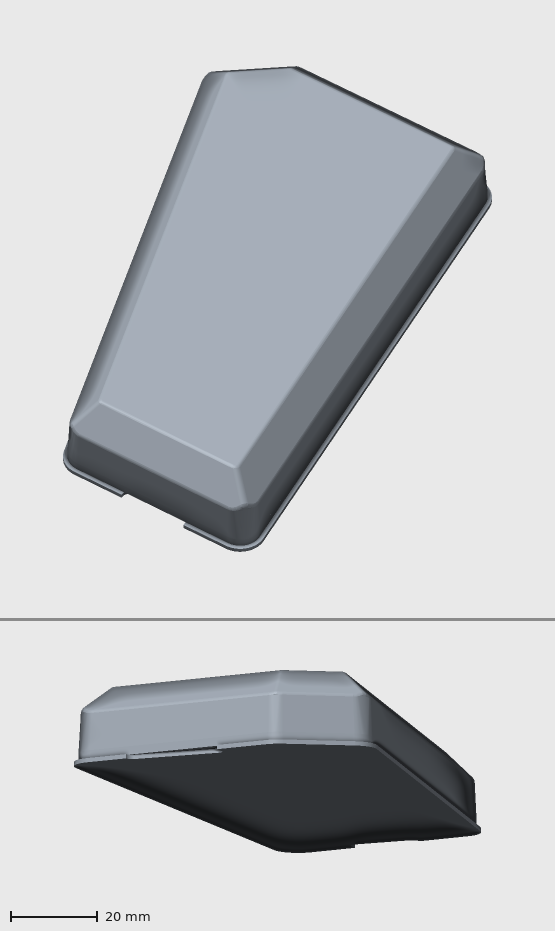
import math

import cadquery as cq

right_side = (0.0, 36.9)
rear_side = (83.25, 64.9)
rear_left_side = (121.35, 66.9)
left_side = (190.54, 26.77)
front_side = (262.9, 62.94)
plate_sides = [right_side, rear_side, rear_left_side, left_side, front_side]

plate_top = 1.0
frame_top = 3.0
shoulder_height = 12.2
total_height = 18.78

rim_width = 1.0
plate_corner_radius = 6.0
wall_corner_radius = plate_corner_radius - rim_width
frame_draft = 1.0
cover_draft = 2.5

roof_slope = 45.0
hip_radius = 1.7
shoulder_radius = 1.15
ridge_radius = 1.15

notch_depth = 3.0
notch_corner_radius = 1.65
front_notch_ends = (1.5, 18.5)
rear_notch_ends = (-2.8, 21.3)


def lean(angle, height):
    """Inset gained over a height by a wall leaning in by an angle from vertical."""
    return height * math.tan(math.radians(angle))


frame_inset = rim_width
cover_inset = frame_inset + lean(frame_draft, frame_top - plate_top)
shoulder_inset = cover_inset + lean(cover_draft, shoulder_height - frame_top)


def meeting_point(side, next_side):
    """Point where two straight sides of the outline meet."""
    angle, distance = side
    next_angle, next_distance = next_side
    a = math.radians(angle)
    b = math.radians(next_angle)
    spread = math.sin(b - a)
    x = (distance * math.sin(b) - next_distance * math.sin(a)) / spread
    y = (next_distance * math.cos(a) - distance * math.cos(b)) / spread
    return (x, y)


def outline(inset):
    """Sharp corner points of the plan outline, moved inward by an inset."""
    sides = [(angle, distance - inset) for angle, distance in plate_sides]
    return [meeting_point(sides[i - 1], sides[i]) for i in range(len(sides))]


def rounded_block(inset, bottom, top, draft, radius):
    """Block on the plan outline with leaning sides and rounded upright edges."""
    height = top - bottom
    lower = cq.Workplane("XY").workplane(offset=bottom).polyline(outline(inset)).close()
    upper_inset = inset + lean(draft, height)
    block = lower.workplane(offset=height).polyline(outline(upper_inset)).close().loft(ruled=True)
    upright_edges = block.edges("not(#Z)")
    return upright_edges.fillet(radius)


def notch_cutter(side, ends):
    """Cutter for a notch in an edge of the plate, with rounded inner corners."""
    angle, distance = side
    facing = math.radians(angle)
    middle_x = sum(ends) / 2
    edge_y = (distance - middle_x * math.cos(facing)) / math.sin(facing)
    return (
        cq.Workplane("XY")
        .center(middle_x, edge_y)
        .rect(ends[1] - ends[0], 2 * notch_depth)
        .extrude(plate_top)
        .edges("|Z")
        .fillet(notch_corner_radius)
    )


def make_base_plate():
    """Flat plate whose edge stands out as a rim, notched at the front and rear."""
    plate = rounded_block(0.0, 0.0, plate_top, 0.0, plate_corner_radius)
    plate = plate.cut(notch_cutter(front_side, front_notch_ends))
    return plate.cut(notch_cutter(rear_side, rear_notch_ends))


def make_frame():
    """Low band between the base plate and the cover."""
    return rounded_block(frame_inset, plate_top, frame_top, frame_draft, wall_corner_radius)


def make_cover():
    """Drafted wall under a hipped roof, with the shoulder and the top edge rounded."""
    walls = rounded_block(cover_inset, frame_top, total_height, cover_draft, wall_corner_radius)
    roof_inset = shoulder_inset - lean(roof_slope, shoulder_height - frame_top)
    roof = rounded_block(roof_inset, frame_top, total_height, roof_slope, hip_radius)
    cover = walls.intersect(roof)

    reach = max(distance for _, distance in plate_sides)
    band = 2.0
    shoulder_band = cq.selectors.BoxSelector(
        (-reach, -reach, shoulder_height - band),
        (reach, reach, shoulder_height + band),
    )
    cover = cover.edges(shoulder_band).fillet(shoulder_radius)
    return cover.faces(">Z").edges().fillet(ridge_radius)


base_plate = make_base_plate()
frame = make_frame()
cover = make_cover()

result = cq.Compound.makeCompound([base_plate.val(), frame.val(), cover.val()])